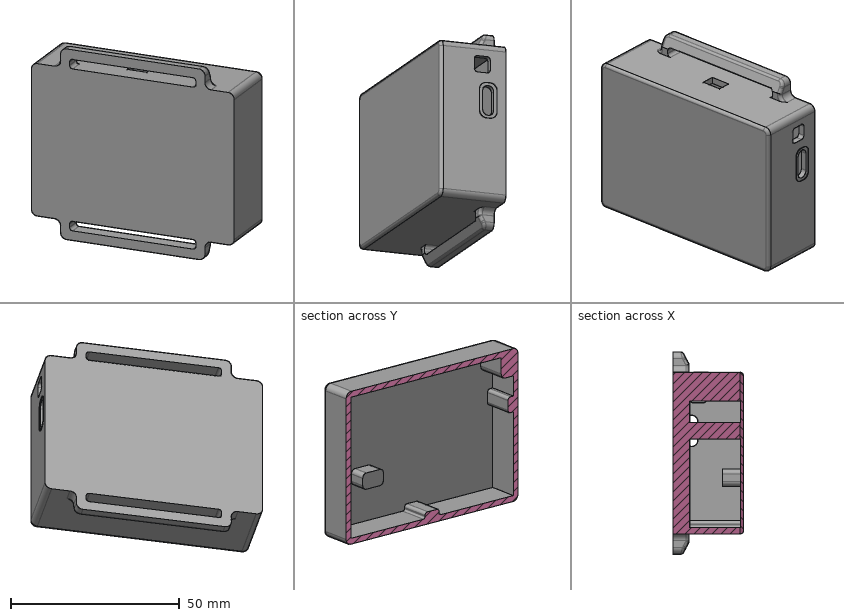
import cadquery as cq
import math

case_length = 66.0
case_depth = 21.0
case_height = 48.0
wall = 2.0
corner_radius = 2.0
rim_radius = 1.0
lid_thickness = rim_radius
half_length = case_length / 2
half_height = case_height / 2
seam_y = case_depth - lid_thickness
inner_x = half_length - wall
inner_z = half_height - wall

overall_height = 60.0
lug_width = 47.0
lug_thickness = 4.8
lug_edge_radius = 1.0
lug_tip_thickness = 2.9
lug_slope_start_z = 26.4
lug_top_z = overall_height / 2
lug_root = 1.3

strap_slot_width = 41.05
strap_slot_height = 3.0
strap_slot_radius = 1.0

button_size = 5.0
button_y = 7.5
button_z = 17.5
button_radius = 1.0

port_y = 5.6
port_z = 6.6
port_length = 9.2
port_width = 3.5
surround_length = 10.9
surround_width = 5.6
surround_radius = 2.25
surround_depth = 0.2

switch_x = -1.45
switch_y = 8.4
switch_length = 6.4
switch_width = 4.1

side_rib_width = 5.1
rib_height = 2.0
rib_radius = 1.0
rib_foot_radius = 0.65
bottom_rib_width = 5.55
bottom_rib_left_x = -bottom_rib_width / 2
corner_post_reach = 4.6
corner_post_low_z = 15.3
corner_post_radius = 1.7
ledge_top_y = 5.0
ledge_reach = 0.65

lid_post_left_x = -23.1
lid_post_top_z = -4.75
lid_post_length = 7.9
lid_post_width = 5.1
lid_post_height = 5.3
lid_post_radius = 1.4


def block(x0, x1, y0, y1, z0, z1):
    """Box between two opposite corners."""
    return cq.Workplane("XY").box(x1 - x0, y1 - y0, z1 - z0, centered=False).translate((x0, y0, z0))


def wall_cutter(y, z, width, length, depth, radius):
    """Rounded rectangle sunk into the -X face."""
    cutter = block(-half_length, -half_length + depth, y - width / 2, y + width / 2,
                   z - length / 2, z + length / 2)
    return cutter.edges("|X").fillet(radius)


def outer_case():
    case = block(-half_length, half_length, 0, case_depth, -half_height, half_height)
    return case.edges("|Y").fillet(corner_radius).faces(">Y").edges().fillet(rim_radius)


def lug_plate(thickness):
    """Lug outline with rounded tips and flared feet; its root reaches into the case wall."""
    side = lug_width / 2
    r = corner_radius
    bow = r * math.sqrt(0.5)
    foot_z = half_height + r
    tip_z = lug_top_z - r
    return (
        cq.Workplane("XZ")
        .moveTo(-side - r, half_height)
        .threePointArc((-side - r + bow, foot_z - bow), (-side, foot_z))
        .lineTo(-side, tip_z)
        .threePointArc((-side + r - bow, tip_z + bow), (-side + r, lug_top_z))
        .lineTo(side - r, lug_top_z)
        .threePointArc((side - r + bow, tip_z + bow), (side, tip_z))
        .lineTo(side, foot_z)
        .threePointArc((side + r - bow, foot_z - bow), (side + r, half_height))
        .lineTo(side + r, half_height - lug_root)
        .lineTo(-side - r, half_height - lug_root)
        .close()
        .extrude(-thickness)
    )


def round_back_edges(plate, back_face):
    """Round the edges of the back face, apart from the root inside the case."""
    edges = [e for e in plate.faces(back_face).edges().vals() if e.Center().z > half_height]
    return plate.newObject(edges).fillet(lug_edge_radius)


def upper_lug():
    """Flat-backed plate and sloping plate, meeting in a crisp ridge across the lug."""
    slope = (lug_thickness - lug_tip_thickness) / (lug_top_z - lug_slope_start_z)
    bottom_z = half_height - lug_root
    bottom_y = lug_tip_thickness + slope * (lug_top_z - bottom_z)
    slope_cutter = (
        cq.Workplane("YZ")
        .polyline([(lug_tip_thickness, lug_top_z), (bottom_y, bottom_z), (bottom_y, lug_top_z)])
        .close()
        .extrude(half_length, both=True)
    )
    flat = round_back_edges(lug_plate(lug_thickness), ">Y")
    sloping = lug_plate(bottom_y).cut(slope_cutter)
    sloping = round_back_edges(sloping, cq.selectors.DirectionNthSelector(cq.Vector(0, 1, slope), -1))
    return flat.intersect(sloping)


def strap_slot():
    slot = block(-strap_slot_width / 2, strap_slot_width / 2, 0, lug_thickness,
                 half_height, half_height + strap_slot_height)
    return slot.edges("|Y").fillet(strap_slot_radius)


def side_rib():
    """Rib on the +X wall, level with the connector opening."""
    rib = block(inner_x - rib_height, inner_x, wall, seam_y,
                port_z - side_rib_width / 2, port_z + side_rib_width / 2)
    return rib.edges("|Y and <X").fillet(rib_radius)


def bottom_rib():
    rib = block(bottom_rib_left_x, bottom_rib_left_x + bottom_rib_width, wall, seam_y,
                -inner_z, -inner_z + rib_height)
    return rib.edges("|Y and >Z").fillet(rib_radius)


def corner_post():
    """Post in the +X, +Z corner."""
    post = block(inner_x - corner_post_reach, inner_x, wall, seam_y, corner_post_low_z, inner_z)
    return post.edges("|Y and <X and <Z").fillet(corner_post_radius)


def side_ledge():
    """Low step where the +X wall meets the strap-side floor."""
    return block(inner_x - ledge_reach, inner_x, wall, ledge_top_y, -inner_z, inner_z)


def make_housing():
    housing = outer_case().intersect(block(-half_length, half_length, 0, seam_y, -half_height, half_height))
    lug = upper_lug()
    slot = strap_slot()
    housing = housing.union(lug).union(lug.mirror("XY"))
    housing = housing.cut(slot).cut(slot.mirror("XY"))
    housing = housing.cut(block(-inner_x, inner_x, wall, seam_y, -inner_z, inner_z))

    for feature in (side_rib(), bottom_rib(), corner_post(), side_ledge()):
        housing = housing.union(feature)
    foot = cq.selectors.BoxSelector(
        (bottom_rib_left_x - rib_foot_radius, wall, -inner_z - rib_foot_radius),
        (bottom_rib_left_x + bottom_rib_width + rib_foot_radius, seam_y, -inner_z + rib_foot_radius),
    )
    housing = housing.edges(foot).edges("|Y").fillet(rib_foot_radius)

    housing = housing.cut(wall_cutter(button_y, button_z, button_size, button_size, wall, button_radius))
    housing = housing.cut(
        wall_cutter(port_y, port_z, surround_width, surround_length, surround_depth, surround_radius)
    )
    port = (
        cq.Workplane("YZ", origin=(-half_length, port_y, port_z))
        .slot2D(port_length, port_width, 90)
        .extrude(wall)
    )
    switch = block(switch_x - switch_length / 2, switch_x + switch_length / 2,
                   switch_y - switch_width / 2, switch_y + switch_width / 2, inner_z, half_height)
    return housing.cut(port).cut(switch)


def make_lid():
    lid = outer_case().intersect(
        block(-half_length, half_length, seam_y, case_depth, -half_height, half_height)
    )
    post = block(lid_post_left_x, lid_post_left_x + lid_post_length, seam_y - lid_post_height, seam_y,
                 lid_post_top_z - lid_post_width, lid_post_top_z)
    return lid.union(post.edges("|Y").fillet(lid_post_radius))


housing = make_housing()
lid = make_lid()

result = cq.Compound.makeCompound([housing.solids().val(), lid.solids().val()])